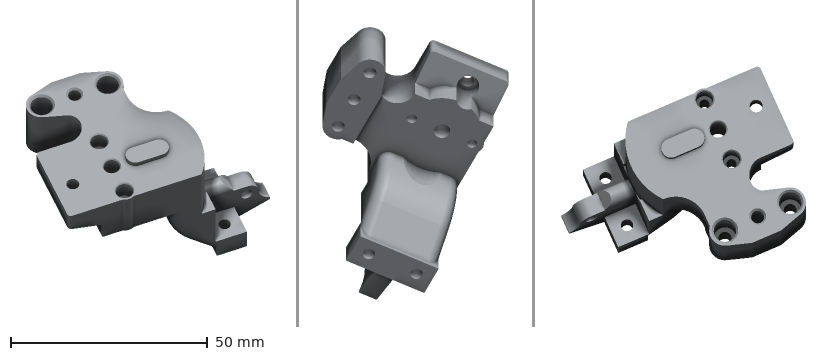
import cadquery as cq
import math


half_width = 11.1
plate_depth = 12.75
front_y = -16.35
corner_radius = 1.0
nose_radius = 17.55
nose_center_y = 6.6
rear_edge_y = 12.1
notch_top_y = -2.05
notch_inner_radius = 4.95
notch_outer_radius = 3.65

lobe_x = -24.95
lobe_y = 9.05
lobe_radius = 4.0
lobe_depth = 15.05
left_x = -30.7
left_half_length = 4.0
notch_corner = (-19.2, -3.8)

lip_thickness = 5.2
relief_slope = math.tan(math.radians(15))
relief_back_y = -7.05
hub_radius = 10.0

side_hole_x = 8.55
side_boss_radius = 3.0
screw_diameter = 3.3
lobe_bore_diameter = 5.7
lobe_bore_depth = 8.0
side_hole_diameter = 2.6
side_bore_diameter = 4.5
side_bore_depth = 5.0
center_hole_diameter = 4.2
front_hole = (1.7, -11.35)
front_bore_diameter = 5.75
front_bore_roof = -4.0
wide_rim = 0.55
narrow_rim = 0.3

key_width = 5.0
key_length = 11.5
key_center_y = 9.75
key_height = 1.4

arm_front_y = 11.5
arm_radius = 19.75
arm_arc_top = -13.5
arm_edge_radius = 3.0
arm_back_y = 24.0
ledge_front_y = 18.8
ledge_z = -16.35
ledge_pocket_z = -18.65
ledge_pocket_half_width = 5.1
motor_clearance_radius = 12.6

flange_front_y = 24.35
flange_back_y = 32.6
flange_top = -29.8
flange_bottom = -35.8
flange_hole_x = 6.75
flange_hole_y = 28.25
flange_hole_diameter = 3.1

tail_width = 5.0
tail_hole_y = 36.1
tail_hole_z = -26.3
tail_hole_diameter = 3.1
tail_round = 3.25
tail_hollow = 4.35
tail_tip_y = 42.5
tail_tip_top = -30.55
tail_tip_bottom = -31.25
tail_shoulder_drop = 4.1
tail_slope = math.tan(math.radians(20))
spine_center_z = -22.7
spine_end_y = 32.5


def cylinder(x, y, radius, bottom, top):
    return cq.Workplane("XY", origin=(x, y, bottom)).circle(radius).extrude(top - bottom)


def block(x0, x1, y0, y1, z0, z1):
    return cq.Workplane("XY").box(x1 - x0, y1 - y0, z1 - z0, centered=False).translate((x0, y0, z0))


def side_profile(points, half):
    """Extrude a closed (y, z) polygon symmetrically along X."""
    return cq.Workplane("YZ").polyline(points).close().extrude(half, both=True)


def drill(body, x, y, diameter, rim=0.0, bore=0.0, bore_depth=0.0):
    """Through hole from the plate top, with optional counterbore and chamfered rim."""
    body = body.cut(cylinder(x, y, diameter / 2, flange_bottom, 0.6))
    mouth = max(diameter, bore) / 2
    if bore:
        body = body.cut(cylinder(x, y, mouth, -bore_depth, 0.6))
    if rim:
        cone = cq.Solid.makeCone(mouth, mouth + rim, rim, cq.Vector(x, y, -rim))
        body = body.cut(cq.Workplane(cone))
    return body


def tangent_point(side):
    """Point where the outer flank touches the lobe; side is +1 rear, -1 front."""
    dx = left_x - lobe_x
    dy = left_half_length - lobe_y
    angle = math.atan2(dy, dx) - math.acos(lobe_radius / math.hypot(dx, dy))
    x = lobe_x + lobe_radius * math.cos(angle)
    return (x, side * (lobe_y + lobe_radius * math.sin(angle)))


def make_plate():
    flank = tangent_point(-1)
    inner_flank = (2 * lobe_x - flank[0], flank[1])
    nose_side_y = nose_center_y + math.sqrt(nose_radius**2 - half_width**2)
    nose_end_y = nose_center_y + nose_radius
    rear_fillet = nose_side_y - rear_edge_y
    fillet_center = (-half_width - rear_fillet, nose_side_y)
    rear_offset = rear_edge_y - lobe_y
    lobe_exit = (lobe_x + math.sqrt(lobe_radius**2 - rear_offset**2), rear_edge_y)
    diagonal = math.sqrt(0.5)
    notch_top_x = -half_width - notch_inner_radius
    notch_inner_y = notch_top_y - notch_inner_radius
    outer_reach = (notch_top_x - notch_corner[0]) / 2
    outer_rise = notch_outer_radius - math.sqrt(notch_outer_radius**2 - outer_reach**2)
    outline = (
        cq.Workplane("XY")
        .moveTo(half_width, front_y)
        .lineTo(half_width, nose_side_y)
        .threePointArc((0, nose_end_y), (-half_width, nose_side_y))
        .threePointArc(
            (fillet_center[0] + rear_fillet * diagonal, fillet_center[1] - rear_fillet * diagonal),
            (fillet_center[0], rear_edge_y),
        )
        .lineTo(*lobe_exit)
        .threePointArc((lobe_x, lobe_y + lobe_radius), tangent_point(1))
        .lineTo(left_x, left_half_length)
        .lineTo(left_x, -left_half_length)
        .lineTo(*flank)
        .threePointArc((lobe_x, -lobe_y - lobe_radius), inner_flank)
        .lineTo(*notch_corner)
        .threePointArc((notch_top_x - outer_reach, notch_top_y - outer_rise), (notch_top_x, notch_top_y))
        .threePointArc(
            (notch_top_x + notch_inner_radius * diagonal, notch_inner_y + notch_inner_radius * diagonal),
            (-half_width, notch_inner_y),
        )
        .lineTo(-half_width, front_y)
        .close()
    )
    plate = outline.extrude(-lobe_depth)
    plate = plate.cut(
        block(notch_corner[0], half_width, front_y, nose_end_y, -lobe_depth, -plate_depth)
    )
    front_corners = cq.selectors.BoxSelector(
        (-half_width - 0.6, front_y - 0.6, -lobe_depth), (half_width + 0.6, front_y + 0.6, 0.6)
    )
    plate = plate.edges("|Z").edges(front_corners).fillet(corner_radius)

    relief_back_z = -lip_thickness - relief_slope * (relief_back_y - front_y)
    relief = side_profile(
        [
            (front_y, -lip_thickness),
            (relief_back_y, relief_back_z),
            (relief_back_y, -lobe_depth),
            (front_y, -lobe_depth),
        ],
        half_width,
    )
    plate = plate.cut(relief.cut(cylinder(0, 0, hub_radius, -lobe_depth, 0)))
    return plate.union(cylinder(side_hole_x, 0, side_boss_radius, -plate_depth, 0))


def make_key():
    key = cq.Workplane("XY").center(0, key_center_y).slot2D(key_length, key_width, 90)
    return key.extrude(key_height)


def is_front_edge(edge, arc_end):
    """True for the straight edges above and below the arm's front arc."""
    middle = edge.Center()
    upright = abs(middle.y - arm_front_y) < 0.005
    sloped = abs(middle.y + middle.z - sum(arc_end)) < 0.005
    return upright or sloped


def make_arm():
    arc_center_y = arm_front_y + arm_radius
    diagonal = arm_radius * math.sqrt(0.5)
    arc_end = (arc_center_y - diagonal, arm_arc_top - diagonal)
    arc_middle = (
        arc_center_y - arm_radius * math.cos(math.pi / 8),
        arm_arc_top - arm_radius * math.sin(math.pi / 8),
    )
    foot_z = arc_end[1] - (flange_front_y - arc_end[0])
    arm = (
        cq.Workplane("YZ")
        .moveTo(arm_back_y, -plate_depth)
        .lineTo(arm_front_y, -plate_depth)
        .lineTo(arm_front_y, arm_arc_top)
        .threePointArc(arc_middle, arc_end)
        .lineTo(flange_front_y, foot_z)
        .lineTo(flange_front_y, flange_top)
        .lineTo(arm_back_y, flange_top)
        .close()
        .extrude(half_width, both=True)
    )
    front_edges = [
        edge
        for face in arm.faces("|X").vals()
        for edge in face.Edges()
        if edge.geomType() == "CIRCLE" or is_front_edge(edge, arc_end)
    ]
    arm = arm.newObject(front_edges).fillet(arm_edge_radius)
    arm = arm.cut(cylinder(0, 0, motor_clearance_radius, flange_bottom, -plate_depth))

    nose = cylinder(0, nose_center_y, nose_radius, ledge_pocket_z, -plate_depth)
    ledge = block(-half_width, half_width, ledge_front_y, flange_back_y, ledge_z, -plate_depth)
    pocket = block(
        -ledge_pocket_half_width,
        ledge_pocket_half_width,
        ledge_front_y,
        flange_back_y,
        ledge_pocket_z,
        -plate_depth,
    )
    nose_tip = nose.intersect(pocket)
    return arm.cut(ledge.union(pocket).cut(nose)).union(nose_tip)


def make_flange():
    return block(-half_width, half_width, flange_front_y, flange_back_y, flange_bottom, flange_top)


def make_tail():
    lug_top = tail_hole_z + tail_round
    round_y = tail_hole_y + tail_round
    diagonal = tail_round * math.sqrt(0.5)
    hollow_angle = math.asin(tail_shoulder_drop / tail_hollow)
    hollow_y = round_y + tail_hollow

    def hollow_point(angle):
        return (hollow_y - tail_hollow * math.cos(angle), tail_hole_z - tail_hollow * math.sin(angle))

    lug = (
        cq.Workplane("YZ")
        .moveTo(arm_back_y, spine_center_z)
        .lineTo(spine_end_y, spine_center_z)
        .lineTo(spine_end_y, lug_top)
        .lineTo(tail_hole_y, lug_top)
        .threePointArc((tail_hole_y + diagonal, tail_hole_z + diagonal), (round_y, tail_hole_z))
        .threePointArc(hollow_point(hollow_angle / 2), hollow_point(hollow_angle))
        .lineTo(tail_tip_y, tail_tip_top)
        .lineTo(tail_tip_y, tail_tip_bottom)
        .lineTo(flange_back_y, tail_tip_bottom - tail_slope * (tail_tip_y - flange_back_y))
        .lineTo(arm_back_y, flange_top)
        .close()
        .extrude(tail_width / 2, both=True)
    )
    radius = tail_width / 2
    spine = cq.Workplane("XZ", origin=(0, arm_back_y, 0)).center(0, spine_center_z).circle(radius)
    spine = spine.extrude(arm_back_y - spine_end_y)
    slope = side_profile(
        [
            (spine_end_y, spine_center_z),
            (spine_end_y, spine_center_z + radius),
            (spine_end_y - radius, spine_center_z + radius),
        ],
        tail_width,
    )
    tail = lug.union(spine.cut(slope))
    hole = cq.Workplane("YZ").center(tail_hole_y, tail_hole_z).circle(tail_hole_diameter / 2)
    return tail.cut(hole.extrude(tail_width, both=True))


def drill_holes(body):
    for y in (-lobe_y, lobe_y):
        body = drill(body, lobe_x, y, screw_diameter, wide_rim, lobe_bore_diameter, lobe_bore_depth)
    body = drill(body, lobe_x, 0, screw_diameter, wide_rim)
    for x in (-side_hole_x, side_hole_x):
        body = drill(body, x, 0, side_hole_diameter, narrow_rim, side_bore_diameter, side_bore_depth)
    body = drill(body, 0, 0, center_hole_diameter, narrow_rim)
    body = drill(body, *front_hole, screw_diameter)
    body = body.cut(cylinder(*front_hole, front_bore_diameter / 2, -plate_depth, front_bore_roof))
    for x in (-flange_hole_x, flange_hole_x):
        body = drill(body, x, flange_hole_y, flange_hole_diameter)
    return body


body = make_plate().union(make_key()).union(make_flange()).union(make_tail()).union(make_arm())
result = drill_holes(body)